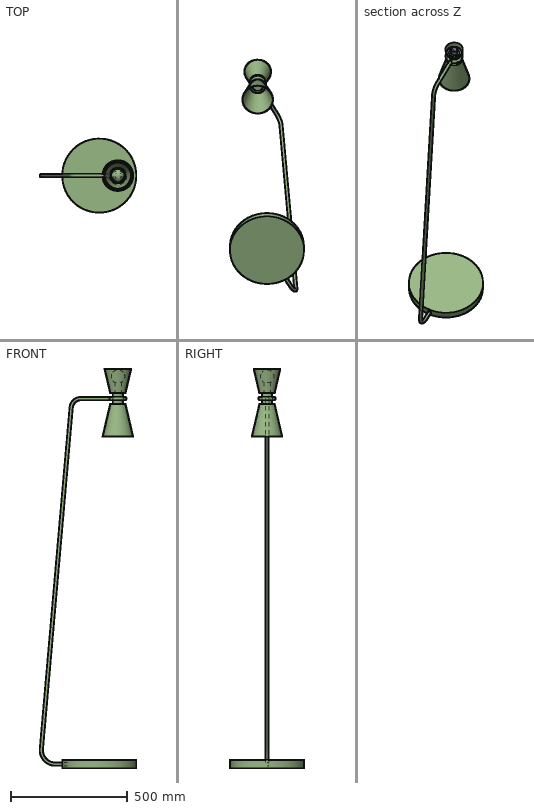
import cadquery as cq
import math

BASE_RADIUS = 160.0
BASE_HEIGHT = 36.0

LAMP_X = 80.0
LAMP_TOP_Z = 1720.0
RING_Z = 1592.0

OVERALL_LENGTH = 416.91
STEM_RADIUS = 7.5
STEM_LEFT_X = BASE_RADIUS - OVERALL_LENGTH
STEM_BASE_Z = BASE_HEIGHT / 2
LOWER_BEND_RADIUS = 60.0
UPPER_BEND_RADIUS = 42.0
UPPER_BEND_X = -79.0
SOCKET_DEPTH = 20.0

NECK_RADIUS = 22.5
NECK_HALF_LENGTH = 23.0
SHADE_WAIST_RADIUS = 33.5
UPPER_RIM_RADIUS = 58.0
LOWER_RIM_RADIUS = 66.5
LOWER_SHADE_LENGTH = 141.0
SHADE_WALL = 2.0

GLOBE_RADIUS = 29.0
GLOBE_TOP_GAP = 3.0
BULB_CAP_RADIUS = 14.0

RING_RADIUS = NECK_RADIUS + STEM_RADIUS

UPPER_SHADE_Z = RING_Z + NECK_HALF_LENGTH
LOWER_SHADE_Z = RING_Z - NECK_HALF_LENGTH


def on_bend(center_x, center_z, radius, angle):
    """Point on the -X side of a bend, at an angle above the horizontal."""
    return (center_x - radius * math.cos(angle), center_z + radius * math.sin(angle))


def make_stem_rod():
    """Round rod swept from the base socket, up the leaning pole, to the ring."""
    lower_x = STEM_LEFT_X + STEM_RADIUS + LOWER_BEND_RADIUS
    lower_z = STEM_BASE_Z + LOWER_BEND_RADIUS
    upper_z = RING_Z - UPPER_BEND_RADIUS
    run = UPPER_BEND_X - lower_x
    rise = upper_z - lower_z

    radius_step = LOWER_BEND_RADIUS - UPPER_BEND_RADIUS
    lean = math.atan2(run, rise) + math.asin(radius_step / math.hypot(run, rise))

    lower_mid_angle = (lean - math.pi / 2) / 2
    upper_mid_angle = (lean + math.pi / 2) / 2
    socket_end_x = SOCKET_DEPTH - BASE_RADIUS
    path = (
        cq.Workplane("XZ")
        .moveTo(socket_end_x, STEM_BASE_Z)
        .lineTo(lower_x, STEM_BASE_Z)
        .threePointArc(
            on_bend(lower_x, lower_z, LOWER_BEND_RADIUS, lower_mid_angle),
            on_bend(lower_x, lower_z, LOWER_BEND_RADIUS, lean),
        )
        .lineTo(*on_bend(UPPER_BEND_X, upper_z, UPPER_BEND_RADIUS, lean))
        .threePointArc(
            on_bend(UPPER_BEND_X, upper_z, UPPER_BEND_RADIUS, upper_mid_angle),
            (UPPER_BEND_X, RING_Z),
        )
        .lineTo(LAMP_X - RING_RADIUS, RING_Z)
    )
    return cq.Workplane("YZ", origin=(socket_end_x, 0, STEM_BASE_Z)).circle(STEM_RADIUS).sweep(path)


def make_ring():
    """Round-section ring that holds the neck of the shade."""
    return (
        cq.Workplane("XZ", origin=(LAMP_X, 0, RING_Z))
        .center(RING_RADIUS, 0)
        .circle(STEM_RADIUS)
        .revolve(360, (-RING_RADIUS, 0), (-RING_RADIUS, 1))
    )


def make_cone_shade(rim_radius, length):
    """Hollow cone opening upward from its closed floor at Z = 0."""
    return (
        cq.Workplane("XZ")
        .lineTo(SHADE_WAIST_RADIUS, 0)
        .lineTo(rim_radius, length)
        .lineTo(rim_radius - SHADE_WALL, length)
        .lineTo(SHADE_WAIST_RADIUS - SHADE_WALL, SHADE_WALL)
        .lineTo(0, SHADE_WALL)
        .close()
        .revolve(360, (0, 0), (0, 1))
    )


def make_shade():
    """Upper and lower cones back to back on the solid neck."""
    upper_length = LAMP_TOP_Z - UPPER_SHADE_Z
    upper = make_cone_shade(UPPER_RIM_RADIUS, upper_length).translate((LAMP_X, 0, UPPER_SHADE_Z))
    lower = (
        make_cone_shade(LOWER_RIM_RADIUS, LOWER_SHADE_LENGTH)
        .rotate((0, 0, 0), (1, 0, 0), 180)
        .translate((LAMP_X, 0, LOWER_SHADE_Z))
    )
    neck = (
        cq.Workplane("XY", origin=(LAMP_X, 0, LOWER_SHADE_Z))
        .circle(NECK_RADIUS)
        .extrude(2 * NECK_HALF_LENGTH)
    )
    return neck.union(upper).union(lower)


def make_bulb():
    """Globe on a round cap that stands on the floor of the upper shade."""
    floor_z = UPPER_SHADE_Z + SHADE_WALL
    globe_z = LAMP_TOP_Z - GLOBE_TOP_GAP - GLOBE_RADIUS
    cap = (
        cq.Workplane("XY", origin=(LAMP_X, 0, floor_z))
        .circle(BULB_CAP_RADIUS)
        .extrude(globe_z - floor_z)
    )
    globe = cq.Workplane("XY", origin=(LAMP_X, 0, globe_z)).sphere(GLOBE_RADIUS)
    return cap.union(globe)


stem_rod = make_stem_rod()
base = cq.Workplane("XY").circle(BASE_RADIUS).extrude(BASE_HEIGHT).cut(stem_rod)
stem = stem_rod.union(make_ring())
shade = make_shade()
bulb = make_bulb()

result = cq.Compound.makeCompound([base.val(), stem.val(), shade.val(), bulb.val()])